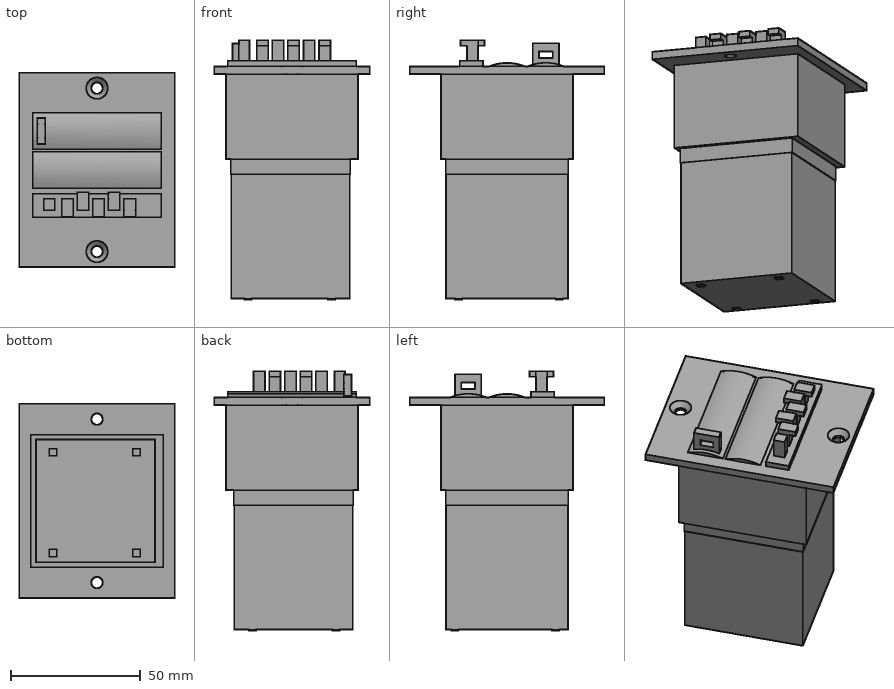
import cadquery as cq

PLATE_X, PLATE_Y, PLATE_T = 60.0, 75.0, 3.0

SCREW_Y = 31.5
SCREW_D, SINK_D, SINK_ANGLE = 4.3, 8.3, 90

HOUSING_SIDE, HOUSING_DEPTH = 51.0, 32.8

CASE_CENTER_X = -0.6
CASE_X, CASE_Y = 45.8, 47.2
COLLAR_X, COLLAR_Y, COLLAR_DEPTH = 46.2, 47.4, 5.7
FOOT_SIDE, FOOT_HEIGHT = 2.8, 0.4
FOOT_CENTER_X, FOOT_CENTER_Y = -0.9, 0.7
FOOT_PITCH_X, FOOT_PITCH_Y = 32.2, 38.8

COVER_X, COVER_Y, COVER_RISE = 49.6, 14.0, 1.4
COVER_CENTERS_Y = (15.0, 0.0)
RAIL_BACK_Y, RAIL_FRONT_Y, RAIL_HEIGHT = -9.2, -18.3, 2.2

TAB_LEFT, TAB_T = -23.0, 3.0
TAB_Y, TAB_TOP, TAB_CHAMFER = 10.2, 9.0, 0.2
WINDOW_Y, WINDOW_BOTTOM, WINDOW_TOP = 5.2, 3.3, 5.7

LEVER_TOP = 10.1
LEVER_BACK_Y, LEVER_FRONT_Y = -11.1, -15.5
HOOK_REACH, HOOK_T = 2.5, 2.2
PLAIN_LEVER_X, PLAIN_LEVER_W = -18.4, 4.2
HOOKED_LEVER_X, HOOKED_LEVER_W = -11.4, 4.5
HOOKED_LEVER_PITCH, HOOKED_LEVER_COUNT = 6.0, 5

TOTAL_HEIGHT = 100.0
FOOT_BOTTOM = LEVER_TOP - TOTAL_HEIGHT
CASE_BOTTOM = FOOT_BOTTOM + FOOT_HEIGHT
HOUSING_BOTTOM = -PLATE_T - HOUSING_DEPTH
COLLAR_BOTTOM = HOUSING_BOTTOM - COLLAR_DEPTH


def block(x_range, y_range, z_range):
    """Axis-aligned box given by its (low, high) limits."""
    lows, highs = zip(x_range, y_range, z_range)
    sizes = [high - low for low, high in zip(lows, highs)]
    return cq.Workplane("XY").box(*sizes, centered=False).translate(lows)


def span(center, size):
    """(low, high) limits of a length about its centre."""
    return center - size / 2, center + size / 2


def faceplate():
    plate = block(span(0, PLATE_X), span(0, PLATE_Y), (-PLATE_T, 0))
    return (
        plate.faces(">Z").workplane(origin=(0, 0, 0))
        .pushPoints([(0, SCREW_Y), (0, -SCREW_Y)])
        .cskHole(SCREW_D, SINK_D, SINK_ANGLE)
    )


def rear_body():
    housing = block(span(0, HOUSING_SIDE), span(0, HOUSING_SIDE), (HOUSING_BOTTOM, -PLATE_T))
    collar = block(span(CASE_CENTER_X, COLLAR_X), span(0, COLLAR_Y), (COLLAR_BOTTOM, HOUSING_BOTTOM))
    case = block(span(CASE_CENTER_X, CASE_X), span(0, CASE_Y), (CASE_BOTTOM, COLLAR_BOTTOM))
    body = housing.union(collar).union(case)
    for foot_x in span(FOOT_CENTER_X, FOOT_PITCH_X):
        for foot_y in span(FOOT_CENTER_Y, FOOT_PITCH_Y):
            foot = block(span(foot_x, FOOT_SIDE), span(foot_y, FOOT_SIDE), (FOOT_BOTTOM, CASE_BOTTOM))
            body = body.union(foot)
    return body


def domed_cover(center_y):
    """Shallow circular-segment bar running along X."""
    low_y, high_y = span(center_y, COVER_Y)
    return (
        cq.Workplane("YZ").moveTo(low_y, 0)
        .threePointArc((center_y, COVER_RISE), (high_y, 0))
        .close()
        .extrude(COVER_X / 2, both=True)
    )


def eyelet_tab():
    tab_x = (TAB_LEFT, TAB_LEFT + TAB_T)
    center_y = COVER_CENTERS_Y[0]
    tab = block(tab_x, span(center_y, TAB_Y), (0, TAB_TOP))
    tab = tab.faces(">Z").edges("|X").chamfer(TAB_CHAMFER)
    window = block(tab_x, span(center_y, WINDOW_Y), (WINDOW_BOTTOM, WINDOW_TOP))
    return tab.cut(window)


def lever_post(center_x, width):
    return block(span(center_x, width), (LEVER_FRONT_Y, LEVER_BACK_Y), (RAIL_HEIGHT, LEVER_TOP))


def hooked_lever(center_x, faces_front):
    if faces_front:
        hook_y = (LEVER_FRONT_Y - HOOK_REACH, LEVER_BACK_Y)
    else:
        hook_y = (LEVER_FRONT_Y, LEVER_BACK_Y + HOOK_REACH)
    hook = block(span(center_x, HOOKED_LEVER_W), hook_y, (LEVER_TOP - HOOK_T, LEVER_TOP))
    return lever_post(center_x, HOOKED_LEVER_W).union(hook)


def switch_bank():
    bank = block(span(0, COVER_X), (RAIL_FRONT_Y, RAIL_BACK_Y), (0, RAIL_HEIGHT))
    bank = bank.union(lever_post(PLAIN_LEVER_X, PLAIN_LEVER_W))
    for index in range(HOOKED_LEVER_COUNT):
        lever_x = HOOKED_LEVER_X + index * HOOKED_LEVER_PITCH
        bank = bank.union(hooked_lever(lever_x, faces_front=index % 2 == 0))
    return bank


result = faceplate().union(rear_body())
for cover_y in COVER_CENTERS_Y:
    result = result.union(domed_cover(cover_y))
result = result.union(eyelet_tab()).union(switch_bank())